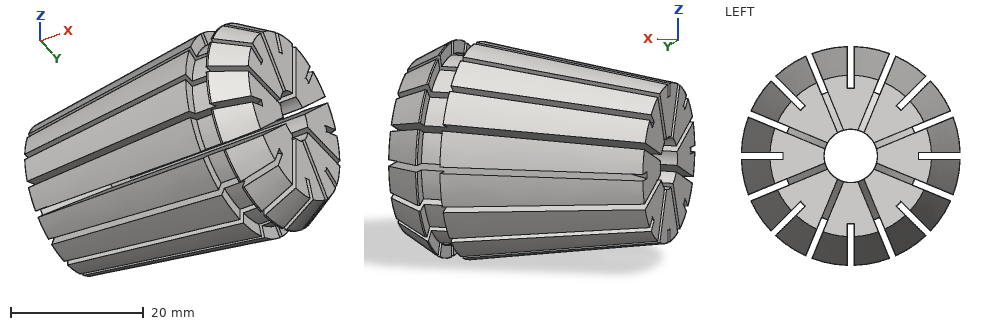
import cadquery as cq

length = 40.0
max_radius = 16.5
nose_radius = 12.15
rear_radius = 13.5
bore_radius = 4.0

groove_start = 30.8
groove_end = 34.4
groove_radius = 14.55
land_end = 34.7

slots_per_end = 8
slot_width = 1.0
blade_radius = 40.0
blade_center_height = 40.3
blade_stop = 26.4
overcut = 0.4

AXIS_START = (0, 0, 0)
AXIS_END = (1, 0, 0)
slot_pitch = 360 / slots_per_end


def collet_body():
    """Double-tapered body with its groove and through bore, revolved about X."""
    return (
        cq.Workplane("XY")
        .moveTo(0, bore_radius)
        .lineTo(0, nose_radius)
        .lineTo(groove_start, max_radius)
        .lineTo(groove_start, groove_radius)
        .lineTo(groove_end, groove_radius)
        .lineTo(groove_end, max_radius)
        .lineTo(land_end, max_radius)
        .lineTo(length, rear_radius)
        .lineTo(length, bore_radius)
        .close()
        .revolve(360, AXIS_START, AXIS_END)
    )


def blade_sweep(stop_x, entry_x):
    """Space swept by the blade from entry_x to its stop: a straight run ending in the blade's arc."""
    straight_run = (
        cq.Workplane("XZ")
        .moveTo(stop_x, blade_center_height - blade_radius)
        .lineTo(entry_x, blade_center_height - blade_radius)
        .lineTo(entry_x, blade_center_height)
        .lineTo(stop_x, blade_center_height)
        .close()
        .extrude(slot_width / 2, both=True)
    )
    blade = (
        cq.Workplane("XZ")
        .center(stop_x, blade_center_height)
        .circle(blade_radius)
        .extrude(slot_width / 2, both=True)
    )
    return straight_run.union(blade)


def cut_slots(body, cutter, first_angle):
    """Cut one evenly spaced ring of slots, starting at first_angle from +Z."""
    for index in range(slots_per_end):
        angle = first_angle + index * slot_pitch
        body = body.cut(cutter.rotate(AXIS_START, AXIS_END, angle))
    return body


rear_cutter = blade_sweep(blade_stop, length + overcut)
nose_cutter = blade_sweep(length - blade_stop, -overcut)

result = collet_body()
result = cut_slots(result, rear_cutter, 0)
result = cut_slots(result, nose_cutter, slot_pitch / 2)